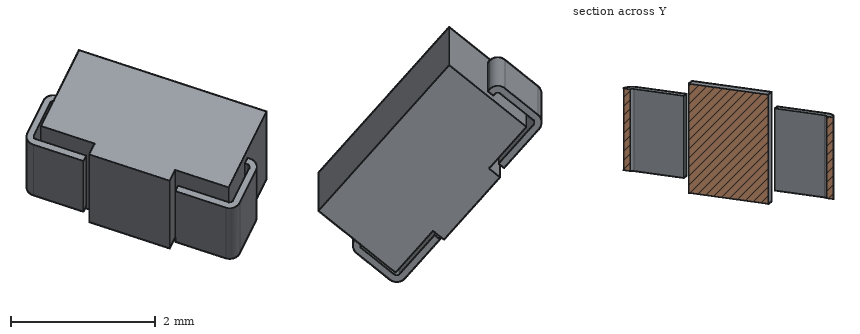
import cadquery as cq

body_length = 2.8
body_depth = 1.4
body_height = 1.6
standoff_width = 1.2
standoff_depth = 0.2

overall_length = 3.17
lead_width = 1.2
lead_thickness = 0.1
lead_rise = 0.9
lead_foot_length = 0.9
lead_outer_radius = 0.15
lead_inner_radius = lead_outer_radius - lead_thickness

mount_y = -(body_depth + standoff_depth) / 2
body_front_y = mount_y + standoff_depth
lead_top_y = mount_y + lead_rise
lead_outer_x = overall_length / 2
lead_foot_end_x = lead_outer_x - lead_foot_length


def make_block(width, depth, height, front_y):
    """Block centred in X and Z, starting at front_y and extending toward +Y."""
    return cq.Workplane("XY").box(width, depth, height).translate((0, front_y + depth / 2, 0))


def make_body():
    main_block = make_block(body_length, body_depth, body_height, body_front_y)
    standoff = make_block(standoff_width, standoff_depth, body_height, mount_y)
    return main_block.union(standoff)


def make_right_lead():
    """C-shaped strip from the +X end face of the body round to a foot under it."""
    body_end_x = body_length / 2
    inner_x = lead_outer_x - lead_thickness
    foot_top_y = mount_y + lead_thickness
    arm_bottom_y = lead_top_y - lead_thickness
    outer_r = lead_outer_radius
    inner_r = lead_inner_radius
    return (
        cq.Workplane("XY")
        .workplane(offset=-lead_width / 2)
        .moveTo(body_end_x, lead_top_y)
        .lineTo(lead_outer_x - outer_r, lead_top_y)
        .radiusArc((lead_outer_x, lead_top_y - outer_r), outer_r)
        .lineTo(lead_outer_x, mount_y + outer_r)
        .radiusArc((lead_outer_x - outer_r, mount_y), outer_r)
        .lineTo(lead_foot_end_x, mount_y)
        .lineTo(lead_foot_end_x, foot_top_y)
        .lineTo(inner_x - inner_r, foot_top_y)
        .radiusArc((inner_x, foot_top_y + inner_r), -inner_r)
        .lineTo(inner_x, arm_bottom_y - inner_r)
        .radiusArc((inner_x - inner_r, arm_bottom_y), -inner_r)
        .lineTo(body_end_x, arm_bottom_y)
        .close()
        .extrude(lead_width)
    )


right_lead = make_right_lead()
left_lead = right_lead.mirror("YZ")

result = make_body().union(right_lead).union(left_lead)